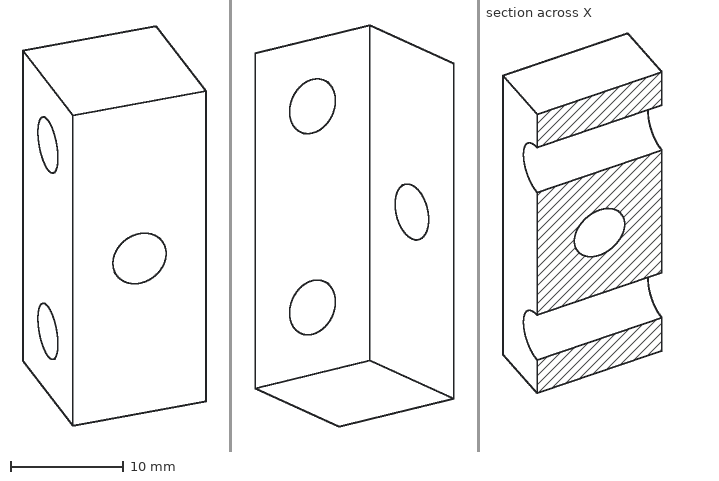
import cadquery as cq

width = 12.7
height = 31.75
hole_diameter = 5.08
end_distance = 6.35

hole_spacing = height - 2 * end_distance

bar = cq.Workplane("XY").box(width, width, height)

end_holes = (
    cq.Workplane("XZ")
    .rarray(0.32, hole_spacing, 1, 2)
    .circle(hole_diameter / 2)
    .extrude(width / 2, both=True)
)

cross_hole = (
    cq.Workplane("YZ")
    .circle(hole_diameter / 2)
    .extrude(width / 2, both=True)
)

result = bar.cut(end_holes).cut(cross_hole)